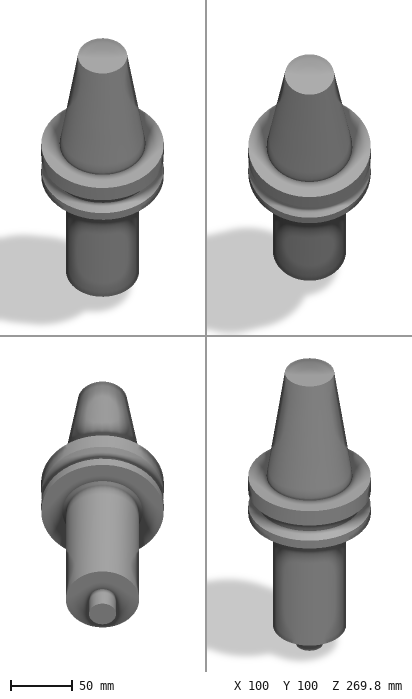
import cadquery as cq


taper_top_diameter = 40.2
taper_base_diameter = 70.0
flange_diameter = 100.0
groove_diameter = 85.0
collar_diameter = 65.5
body_diameter = 60.0
nose_diameter = 22.0

total_height = 269.8
body_bottom = 18.3
collar_bottom = 126.8
flange_bottom = 129.2
flange_height = 37.2
taper_base = 168.0

lower_rim_height = 7.8
upper_rim_height = 14.3
groove_floor_height = 6.5
flange_top = flange_bottom + flange_height
groove_bottom = flange_bottom + lower_rim_height
groove_top = flange_top - upper_rim_height
groove_flank_height = (groove_top - groove_bottom - groove_floor_height) / 2

outline = [
    (nose_diameter, 0),
    (nose_diameter, body_bottom),
    (body_diameter, body_bottom),
    (body_diameter, collar_bottom),
    (collar_diameter, flange_bottom),
    (flange_diameter, flange_bottom),
    (flange_diameter, groove_bottom),
    (groove_diameter, groove_bottom + groove_flank_height),
    (groove_diameter, groove_top - groove_flank_height),
    (flange_diameter, groove_top),
    (flange_diameter, flange_top),
    (taper_base_diameter, flange_top),
    (taper_base_diameter, taper_base),
    (taper_top_diameter, total_height),
]

half_section = cq.Workplane("XZ").moveTo(0, 0)
for diameter, height in outline:
    half_section = half_section.lineTo(diameter / 2, height)
half_section = half_section.lineTo(0, total_height).close()

result = half_section.revolve(360, (0, 0, 0), (0, 1, 0))